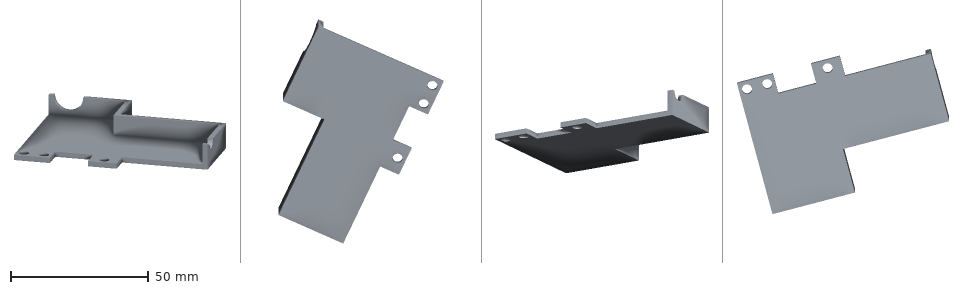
import cadquery as cq

length = 71.15
depth = 50.2
height = 9.6
wall = 2.0

tab_depth = 7.55
step_x = 31.1
step_drop = 16.7
step_y = depth - step_drop
left_tab_width = 13.6
middle_tab_start = 27.95
middle_tab_width = 10.9
middle_tab_end = middle_tab_start + middle_tab_width

hole_diameter = 3.6
hole_y = 3.05
left_tab_hole_xs = (3.0, 10.6)
middle_tab_hole_x = middle_tab_start + middle_tab_width / 2

rear_notch_radius = 5.55
rear_notch_x = wall + rear_notch_radius
side_notch_radius = 3.0
side_post_width = 1.5
side_notch_y = tab_depth + side_post_width + side_notch_radius


def block(x_start, x_end, y_start, y_end, block_height):
    """Box standing on the bottom plane between the given X and Y limits."""
    return cq.Workplane("XY").box(
        x_end - x_start, y_end - y_start, block_height, centered=False
    ).translate((x_start, y_start, 0))


def l_shape(inset, block_height):
    """Two-block L, pulled in by the inset from the rear and right edges only."""
    rear_arm = block(0, step_x - inset, tab_depth, depth - inset, block_height)
    side_arm = block(0, length - inset, tab_depth, step_y - inset, block_height)
    return rear_arm.union(side_arm)


def make_tray():
    """Floor bounded by walls along the rear and right edges; front and left stay open."""
    inner_space = l_shape(wall, height).translate((0, 0, wall))
    return l_shape(0, height).cut(inner_space)


def make_tabs():
    left_tab = block(0, left_tab_width, 0, tab_depth, wall)
    middle_tab = block(middle_tab_start, middle_tab_end, 0, tab_depth, wall)
    return left_tab.union(middle_tab)


def make_holes():
    centers = [(x, hole_y) for x in (*left_tab_hole_xs, middle_tab_hole_x)]
    return cq.Workplane("XY").pushPoints(centers).circle(hole_diameter / 2).extrude(wall)


def make_rear_notch():
    rear_face = cq.Workplane("XZ", origin=(rear_notch_x, depth, height))
    return rear_face.circle(rear_notch_radius).extrude(wall)


def make_side_notch():
    side_face = cq.Workplane("YZ", origin=(length, side_notch_y, height))
    return side_face.circle(side_notch_radius).extrude(-wall)


plate = make_tray().union(make_tabs()).clean()
result = plate.cut(make_holes()).cut(make_rear_notch()).cut(make_side_notch())